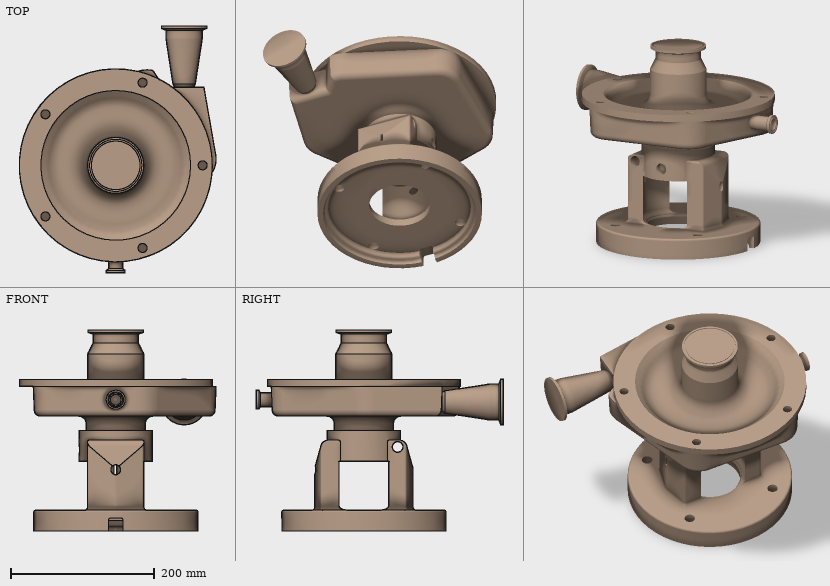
import cadquery as cq
import math

TOTAL_HEIGHT = 281.5
FLANGE_TOP = 212.0
CASING_TOP = 202.2
CASING_BOTTOM = 160.6
RING_TOP = 140.8
RING_BOTTOM = 97.6
BASE_TOP = 29.3

BASE_RADIUS = 115.0
BASE_EDGE_RADIUS = 3.0
RECESS_RADIUS = 107.0
RECESS_DEPTH = 15.1
RECESS_STEP_Z = 5.95
RECESS_STEP_RADIUS = 3.75
RECESS_INNER_RADIUS = RECESS_RADIUS - 2 * RECESS_STEP_RADIUS
BASE_HOLE_DIAMETER = 14.5
BASE_HOLE_CIRCLE_RADIUS = 92.0
BASE_HOLE_COUNT = 4
BASE_HOLE_START_ANGLE = 45.0
SLOT_WIDTH = 20.0
SLOT_HEIGHT = 18.4
SLOT_INNER_DISTANCE = 95.5
SLOT_CORNER_RADIUS = 3.0

LEG_BORE_RADIUS = 52.5
LEG_BORE_FILLET = 6.5
SHELF_RADIUS = LEG_BORE_RADIUS - LEG_BORE_FILLET
SHELF_HEIGHT = 29.0
SEAT_RADIUS = 45.0
SEAT_DROP = 1.0
BASE_BORE_RADIUS = 42.6

LEG_HALF_WIDTH = 39.5
LEG_SHOULDER_Y = 59.6
LEG_RIDGE_Y = 69.1
LEG_TOP = 127.2
LEG_TOP_EDGE_Z = 121.0
LEG_SLOPE_END_Z = 87.0
LEG_SIDE_EDGE_RADIUS = 3.5
LEG_RIDGE_RADIUS = 9.5
LEG_TOP_RADIUS = 10.5
LEG_TOP_SIDE_RADIUS = 2.5
LEG_FOOT_RADIUS = 4.3
RIDGE_HOLE_DIAMETER = 13.6
RIDGE_HOLE_Z = 85.8
REAR_SLIT_WIDTH = 3.5
REAR_SLIT_OFFSET = -0.5
CROSS_HOLE_DIAMETER = 14.6
CROSS_HOLE_Y = 47.3
CROSS_HOLE_Z = 117.7

RING_RADIUS = 51.4
RING_HOLE_DIAMETER = 15.6
RING_HOLE_Z = 113.9
RING_HOLE_DEPTH = 10.0
NECK_RADIUS = 41.6
NECK_FILLET = 10.2

CASING_CORNER_RADIUS = 34.5
CASING_CORNER_CIRCLE = 100.0
CASING_CORNER_STEP = 72.0
CASING_DRAFT = 2.4
CASING_EDGE_RADIUS = 9.0
TONGUE_CENTRE = (43.7, 99.2)
TONGUE_END_ANGLE = 76.0
OUTLET_CORNER_CENTRE = (105.95, 8.6)
OUTLET_SIDE_ANGLE = 9.9
OUTLET_FACE_Y = 109.5
OUTLET_INNER_X = 67.4

FLANGE_RADIUS = 135.0
FLANGE_HOLE_DIAMETER = 12.6
FLANGE_HOLE_CIRCLE_RADIUS = 121.5
FLANGE_HOLE_COUNT = 5
FLANGE_HOLE_DEPTH = 20.0
BOWL_RIM_RADIUS = 104.6
BOWL_FILLET_TOP_RADIUS = 93.5
BOWL_FILLET = 15.0
BOWL_WALL_ANGLE = 45.0

INLET_RADIUS = 39.3
INLET_NECK_RADIUS = 31.8
INLET_CONE_BOTTOM = 247.8
INLET_CONE_TOP = 263.0
INLET_RIM_RADIUS = 39.0
INLET_GROOVE_RADII = (34.0, 36.5)
INLET_HUB_FILLET = 14.6

OUTLET_X = 95.6
OUTLET_Z = 180.5
OUTLET_END_Y = 195.0
OUTLET_RIM_RADIUS = 32.0
OUTLET_TUBE_RADIUS = 25.5
OUTLET_CONE_START = 4.3
OUTLET_CONE_END = 67.5
OUTLET_CONE_RADIUS = 15.8
OUTLET_ROOT_RADIUS = 13.6
OUTLET_ROOT_DEPTH = 10.0

DRAIN_END_Y = -150.5
DRAIN_ROOT_Y = -112.0
DRAIN_Z = 183.7
DRAIN_RIM_RADIUS = 13.3
DRAIN_TUBE_RADIUS = 9.9
DRAIN_BORE_RADIUS = 7.5
DRAIN_GROOVE_RADII = (9.3, 11.0)
DRAIN_BORE_DEPTH = 29.5

FERRULE_RIM = 3.6
FERRULE_TAPER = 2.6
FERRULE_GROOVE_DEPTH = 1.2

SELECT_MARGIN = 1.0


def polar(centre, radius, angle):
    """Point at an angle in degrees on a circle."""
    turn = math.radians(angle)
    return (centre[0] + radius * math.cos(turn), centre[1] + radius * math.sin(turn))


def cylinder(radius, bottom, top):
    return cq.Workplane("XY").workplane(offset=bottom).circle(radius).extrude(top - bottom)


def revolved(profile):
    """Turn a closed (radius, height) profile about the Z axis."""
    return profile.close().revolve(360, (0, 0, 0), (0, 1, 0))


def ferrule(rim_radius, tube_radius, rim, taper):
    """Clamp ferrule along +Z: a cone from the tube, starting at the origin, then a flat rim."""
    points = [(0, 0), (tube_radius, 0), (rim_radius, taper), (rim_radius, taper + rim), (0, taper + rim)]
    return revolved(cq.Workplane("XZ").polyline(points))


def gasket_groove(inner_radius, outer_radius, face):
    groove = cq.Workplane("XY").workplane(offset=face - FERRULE_GROOVE_DEPTH)
    return groove.circle(outer_radius).circle(inner_radius).extrude(FERRULE_GROOVE_DEPTH)


def make_base():
    base = cylinder(BASE_RADIUS, 0, BASE_TOP)
    return base.faces(">Z").edges().fillet(BASE_EDGE_RADIUS)


def make_leg_block():
    """Six-sided block whose outer ends become the two legs."""
    outline = [
        (LEG_HALF_WIDTH, LEG_SHOULDER_Y),
        (0, LEG_RIDGE_Y),
        (-LEG_HALF_WIDTH, LEG_SHOULDER_Y),
        (-LEG_HALF_WIDTH, -LEG_SHOULDER_Y),
        (0, -LEG_RIDGE_Y),
        (LEG_HALF_WIDTH, -LEG_SHOULDER_Y),
    ]
    height = LEG_TOP - BASE_TOP
    block = cq.Workplane("XY").workplane(offset=BASE_TOP).polyline(outline).close().extrude(height)
    block = block.edges("|Z").edges(">Y or <Y").fillet(LEG_RIDGE_RADIUS)
    slope = (LEG_RIDGE_Y - LEG_SHOULDER_Y) / (LEG_TOP_EDGE_Z - LEG_SLOPE_END_Z)
    top_y = LEG_SHOULDER_Y - slope * (LEG_TOP - LEG_TOP_EDGE_Z)
    side_profile = [
        (-LEG_RIDGE_Y, BASE_TOP),
        (-LEG_RIDGE_Y, LEG_SLOPE_END_Z),
        (-top_y, LEG_TOP),
        (top_y, LEG_TOP),
        (LEG_RIDGE_Y, LEG_SLOPE_END_Z),
        (LEG_RIDGE_Y, BASE_TOP),
    ]
    side_envelope = cq.Workplane("YZ").polyline(side_profile).close().extrude(LEG_HALF_WIDTH, both=True)
    side_envelope = side_envelope.faces(">Z").edges("|X").fillet(LEG_TOP_RADIUS)
    front_envelope = cq.Workplane("XY").workplane(offset=BASE_TOP)
    front_envelope = front_envelope.rect(2 * LEG_HALF_WIDTH, 2 * LEG_RIDGE_Y).extrude(height)
    front_envelope = front_envelope.faces(">Z").edges("|Y").fillet(LEG_TOP_SIDE_RADIUS)
    return block.intersect(side_envelope).intersect(front_envelope)


def make_stand():
    """Base and leg block joined by a foot fillet, with the outer leg corners rounded above it."""
    stand = make_base().union(make_leg_block())
    reach = LEG_RIDGE_Y + SELECT_MARGIN
    foot_low = BASE_TOP - SELECT_MARGIN
    foot_high = BASE_TOP + SELECT_MARGIN
    foot = cq.selectors.BoxSelector((-reach, -reach, foot_low), (reach, reach, foot_high))
    stand = stand.edges(foot).fillet(LEG_FOOT_RADIUS)
    for x in (-LEG_HALF_WIDTH, LEG_HALF_WIDTH):
        for y in (-LEG_SHOULDER_Y, LEG_SHOULDER_Y):
            low = (x - SELECT_MARGIN, y - SELECT_MARGIN, BASE_TOP)
            high = (x + SELECT_MARGIN, y + SELECT_MARGIN, LEG_TOP)
            corner = cq.selectors.BoxSelector(low, high)
            stand = stand.edges("|Z").edges(corner).fillet(LEG_SIDE_EDGE_RADIUS)
    return stand


def make_stand_bore():
    """Space between the legs, running down through the seat in the base."""
    diagonal = LEG_BORE_FILLET * math.sqrt(0.5)
    arc_centre_z = SHELF_HEIGHT + LEG_BORE_FILLET
    seat_z = SHELF_HEIGHT - SEAT_DROP
    profile = (
        cq.Workplane("XZ")
        .moveTo(0, 0)
        .lineTo(BASE_BORE_RADIUS, 0)
        .lineTo(BASE_BORE_RADIUS, seat_z - (SEAT_RADIUS - BASE_BORE_RADIUS))
        .lineTo(SEAT_RADIUS, seat_z)
        .lineTo(SEAT_RADIUS, SHELF_HEIGHT)
        .lineTo(SHELF_RADIUS, SHELF_HEIGHT)
        .threePointArc((SHELF_RADIUS + diagonal, arc_centre_z - diagonal), (LEG_BORE_RADIUS, arc_centre_z))
        .lineTo(LEG_BORE_RADIUS, RING_BOTTOM)
        .lineTo(0, RING_BOTTOM)
    )
    return revolved(profile)


def make_base_recess():
    """Underside recess, narrowing upward through a step of two equal quarter rounds."""
    step_bottom = RECESS_STEP_Z - RECESS_STEP_RADIUS
    step_top = RECESS_STEP_Z + RECESS_STEP_RADIUS
    step_mid_radius = RECESS_RADIUS - RECESS_STEP_RADIUS
    inset = RECESS_STEP_RADIUS * (1 - math.sqrt(0.5))
    profile = (
        cq.Workplane("XZ")
        .moveTo(0, 0)
        .lineTo(RECESS_RADIUS, 0)
        .lineTo(RECESS_RADIUS, step_bottom)
        .threePointArc((RECESS_RADIUS - inset, RECESS_STEP_Z - inset), (step_mid_radius, RECESS_STEP_Z))
        .threePointArc(
            (RECESS_INNER_RADIUS + inset, RECESS_STEP_Z + inset), (RECESS_INNER_RADIUS, step_top)
        )
        .lineTo(RECESS_INNER_RADIUS, RECESS_DEPTH)
        .lineTo(0, RECESS_DEPTH)
    )
    return revolved(profile)


def make_base_slot():
    """Slot through the recess wall on the -Y side, rounded along its roof."""
    length = BASE_RADIUS - SLOT_INNER_DISTANCE
    slot = cq.Workplane("XY").center(0, -SLOT_INNER_DISTANCE - length / 2)
    slot = slot.rect(SLOT_WIDTH, length).extrude(SLOT_HEIGHT)
    return slot.faces(">Z").edges("not <Y").fillet(SLOT_CORNER_RADIUS)


def make_leg_holes():
    front = cq.Workplane("XZ").center(0, RIDGE_HOLE_Z).circle(RIDGE_HOLE_DIAMETER / 2)
    front = front.extrude(BASE_RADIUS)
    rear = cq.Workplane("XZ").center(REAR_SLIT_OFFSET, RIDGE_HOLE_Z)
    rear = rear.rect(REAR_SLIT_WIDTH, RIDGE_HOLE_DIAMETER).extrude(-BASE_RADIUS)
    cross = cq.Workplane("YZ").center(CROSS_HOLE_Y, CROSS_HOLE_Z).circle(CROSS_HOLE_DIAMETER / 2)
    cross = cross.extrude(RING_RADIUS, both=True)
    return front.union(rear).union(cross)


def make_ring():
    ring = cylinder(RING_RADIUS, RING_BOTTOM, RING_TOP)
    hole = cq.Workplane("YZ").workplane(offset=-RING_RADIUS).center(0, RING_HOLE_Z)
    return ring.cut(hole.circle(RING_HOLE_DIAMETER / 2).extrude(RING_HOLE_DEPTH))


def make_neck():
    """Neck below the casing, flaring into the casing floor."""
    flare_radius = NECK_RADIUS + NECK_FILLET
    flare_bottom = CASING_BOTTOM - NECK_FILLET
    diagonal = NECK_FILLET * math.sqrt(0.5)
    profile = (
        cq.Workplane("XZ")
        .moveTo(0, RING_TOP)
        .lineTo(NECK_RADIUS, RING_TOP)
        .lineTo(NECK_RADIUS, flare_bottom)
        .threePointArc(
            (flare_radius - diagonal, flare_bottom + diagonal), (flare_radius, CASING_BOTTOM)
        )
        .lineTo(0, CASING_BOTTOM)
    )
    return revolved(profile)


def make_casing():
    """Volute body: pentagon with round corners, stretched on one side to carry the outlet."""
    radius = CASING_CORNER_RADIUS
    half_step = CASING_CORNER_STEP / 2
    outlet_tangent = polar(OUTLET_CORNER_CENTRE, radius, OUTLET_SIDE_ANGLE)
    side_run = OUTLET_FACE_Y - outlet_tangent[1]
    outlet_outer_x = outlet_tangent[0] - side_run * math.tan(math.radians(OUTLET_SIDE_ANGLE))

    tongue_tangent_angle = 2 * CASING_CORNER_STEP - half_step
    tongue_mid_angle = (TONGUE_END_ANGLE + tongue_tangent_angle) / 2
    outline = (
        cq.Workplane("XY")
        .workplane(offset=CASING_TOP)
        .moveTo(outlet_outer_x, OUTLET_FACE_Y)
        .lineTo(OUTLET_INNER_X, OUTLET_FACE_Y)
        .lineTo(*polar(TONGUE_CENTRE, radius, TONGUE_END_ANGLE))
        .threePointArc(
            polar(TONGUE_CENTRE, radius, tongue_mid_angle),
            polar(TONGUE_CENTRE, radius, tongue_tangent_angle),
        )
    )
    for corner in (2, 3, 4):
        angle = corner * CASING_CORNER_STEP
        centre = polar((0, 0), CASING_CORNER_CIRCLE, angle)
        outline = outline.lineTo(*polar(centre, radius, angle - half_step))
        outline = outline.threePointArc(
            polar(centre, radius, angle), polar(centre, radius, angle + half_step)
        )
    outlet_mid_angle = (OUTLET_SIDE_ANGLE - half_step) / 2
    outline = outline.lineTo(*polar(OUTLET_CORNER_CENTRE, radius, -half_step))
    outline = outline.threePointArc(polar(OUTLET_CORNER_CENTRE, radius, outlet_mid_angle), outlet_tangent)
    casing = outline.close().extrude(CASING_BOTTOM - CASING_TOP, taper=CASING_DRAFT)
    return casing.faces("<Z").edges().fillet(CASING_EDGE_RADIUS)


def make_flange():
    return cylinder(FLANGE_RADIUS, CASING_TOP, FLANGE_TOP)


def make_flange_holes():
    holes = cq.Workplane("XY").workplane(offset=FLANGE_TOP)
    holes = holes.polarArray(FLANGE_HOLE_CIRCLE_RADIUS, 0, 360, FLANGE_HOLE_COUNT)
    return holes.circle(FLANGE_HOLE_DIAMETER / 2).extrude(-FLANGE_HOLE_DEPTH)


def make_bowl():
    """Ring-shaped hollow around the inlet: conical wall, round corner, flat floor, hub fillet."""
    wall_angle = math.radians(BOWL_WALL_ANGLE)
    cone_drop = (BOWL_RIM_RADIUS - BOWL_FILLET_TOP_RADIUS) * math.tan(wall_angle)
    floor_z = FLANGE_TOP - cone_drop - BOWL_FILLET * (1 - math.cos(wall_angle))
    floor_outer = BOWL_FILLET_TOP_RADIUS - BOWL_FILLET * math.sin(wall_angle)
    floor_inner = INLET_RADIUS + INLET_HUB_FILLET
    corner_mid = (
        floor_outer + BOWL_FILLET * math.sin(wall_angle / 2),
        floor_z + BOWL_FILLET * (1 - math.cos(wall_angle / 2)),
    )
    hub_inset = INLET_HUB_FILLET * (1 - math.sqrt(0.5))
    hub_mid = (INLET_RADIUS + hub_inset, floor_z + hub_inset)
    profile = (
        cq.Workplane("XZ")
        .moveTo(BOWL_RIM_RADIUS, FLANGE_TOP)
        .lineTo(BOWL_FILLET_TOP_RADIUS, FLANGE_TOP - cone_drop)
        .threePointArc(corner_mid, (floor_outer, floor_z))
        .lineTo(floor_inner, floor_z)
        .threePointArc(hub_mid, (INLET_RADIUS, floor_z + INLET_HUB_FILLET))
        .lineTo(INLET_RADIUS, FLANGE_TOP)
    )
    return revolved(profile)


def make_inlet():
    ferrule_bottom = TOTAL_HEIGHT - FERRULE_RIM - FERRULE_TAPER
    points = [
        (0, CASING_TOP),
        (INLET_RADIUS, CASING_TOP),
        (INLET_RADIUS, INLET_CONE_BOTTOM),
        (INLET_NECK_RADIUS, INLET_CONE_TOP),
        (INLET_NECK_RADIUS, ferrule_bottom),
        (0, ferrule_bottom),
    ]
    tube = revolved(cq.Workplane("XZ").polyline(points))
    rim = ferrule(INLET_RIM_RADIUS, INLET_NECK_RADIUS, FERRULE_RIM, FERRULE_TAPER)
    inlet = tube.union(rim.translate((0, 0, ferrule_bottom)))
    return inlet.cut(gasket_groove(*INLET_GROOVE_RADII, TOTAL_HEIGHT))


def make_outlet():
    """Outlet modelled along +Z from the casing face, then laid over to +Y."""
    length = OUTLET_END_Y - OUTLET_FACE_Y
    ferrule_start = length - FERRULE_RIM - FERRULE_TAPER
    points = [
        (0, -OUTLET_ROOT_DEPTH),
        (OUTLET_ROOT_RADIUS, -OUTLET_ROOT_DEPTH),
        (OUTLET_ROOT_RADIUS, 0),
        (OUTLET_CONE_RADIUS, OUTLET_CONE_START),
        (OUTLET_TUBE_RADIUS, OUTLET_CONE_END),
        (OUTLET_TUBE_RADIUS, ferrule_start),
        (0, ferrule_start),
    ]
    tube = revolved(cq.Workplane("XZ").polyline(points))
    rim = ferrule(OUTLET_RIM_RADIUS, OUTLET_TUBE_RADIUS, FERRULE_RIM, FERRULE_TAPER)
    outlet = tube.union(rim.translate((0, 0, ferrule_start)))
    outlet = outlet.rotate((0, 0, 0), (1, 0, 0), -90)
    return outlet.translate((OUTLET_X, OUTLET_FACE_Y, OUTLET_Z))


def lay_drain(body):
    """Move a body modelled along +Z from the drain root to the drain axis along -Y."""
    return body.rotate((0, 0, 0), (1, 0, 0), 90).translate((0, DRAIN_ROOT_Y, DRAIN_Z))


def make_drain():
    length = DRAIN_ROOT_Y - DRAIN_END_Y
    ferrule_start = length - FERRULE_RIM - FERRULE_TAPER
    tube = cylinder(DRAIN_TUBE_RADIUS, 0, ferrule_start)
    rim = ferrule(DRAIN_RIM_RADIUS, DRAIN_TUBE_RADIUS, FERRULE_RIM, FERRULE_TAPER)
    return lay_drain(tube.union(rim.translate((0, 0, ferrule_start))))


def make_drain_bore():
    length = DRAIN_ROOT_Y - DRAIN_END_Y
    bore = cylinder(DRAIN_BORE_RADIUS, length - DRAIN_BORE_DEPTH, length)
    return lay_drain(bore.union(gasket_groove(*DRAIN_GROOVE_RADII, length)))


def make_base_holes():
    holes = cq.Workplane("XY")
    holes = holes.polarArray(BASE_HOLE_CIRCLE_RADIUS, BASE_HOLE_START_ANGLE, 360, BASE_HOLE_COUNT)
    return holes.circle(BASE_HOLE_DIAMETER / 2).extrude(BASE_TOP)


stand = make_stand().cut(make_stand_bore()).cut(make_base_recess())
stand = stand.cut(make_base_slot()).cut(make_base_holes())
support = stand.union(make_ring()).cut(make_leg_holes())

casing = make_casing().union(make_neck()).union(make_flange())
casing = casing.union(make_drain()).union(make_outlet()).cut(make_drain_bore())
casing = casing.cut(make_bowl()).cut(make_flange_holes()).union(make_inlet())

result = support.union(casing)